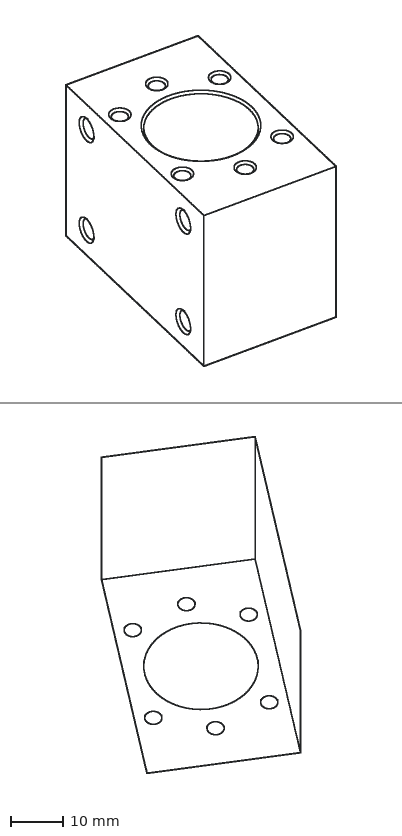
import cadquery as cq

length = 50.0
width = 30.0
height = 36.0

bore_diameter = 22.0
bore_rim_diameter = 23.0

screw_circle_diameter = 32.0
screw_angles = (0, 45, 135, 180, 225, 315)
screw_hole_diameter = 3.3
screw_rim_diameter = 4.3

mount_spacing_x = 35.0
mount_spacing_z = 24.0
mount_hole_diameter = 4.2
mount_rim_diameter = 5.3
mount_hole_depth = 10.0


def chamfered_hole(diameter, rim_diameter, depth):
    """Hole cutter running down from Z = 0, with a 45 degree chamfer at its mouth."""
    radius = diameter / 2
    rim_radius = rim_diameter / 2
    chamfer = rim_radius - radius
    profile = (
        cq.Workplane("XZ")
        .lineTo(rim_radius, 0)
        .lineTo(radius, -chamfer)
        .lineTo(radius, -depth)
        .lineTo(0, -depth)
        .close()
    )
    return profile.revolve(360, (0, 0, 0), (0, 1, 0)).val()


block = cq.Workplane("XY").box(length, width, height)
top_face = cq.Workplane("XY", origin=(0, 0, height / 2))
front_face = cq.Workplane("XZ", origin=(0, -width / 2, 0))

bore = top_face.eachpoint(
    chamfered_hole(bore_diameter, bore_rim_diameter, height), useLocalCoordinates=True
)

screw_hole = chamfered_hole(screw_hole_diameter, screw_rim_diameter, height)
screw_holes = cq.Workplane("XY")
for angle in screw_angles:
    position = top_face.polarArray(screw_circle_diameter / 2, angle, 360, 1)
    screw_holes = screw_holes.add(position.eachpoint(screw_hole, useLocalCoordinates=True))

mount_hole = chamfered_hole(mount_hole_diameter, mount_rim_diameter, mount_hole_depth)
mount_holes = front_face.rect(
    mount_spacing_x, mount_spacing_z, forConstruction=True
).vertices().eachpoint(mount_hole, useLocalCoordinates=True)

result = block.cut(bore)
for hole in screw_holes.vals() + mount_holes.vals():
    result = result.cut(cq.Workplane(hole))